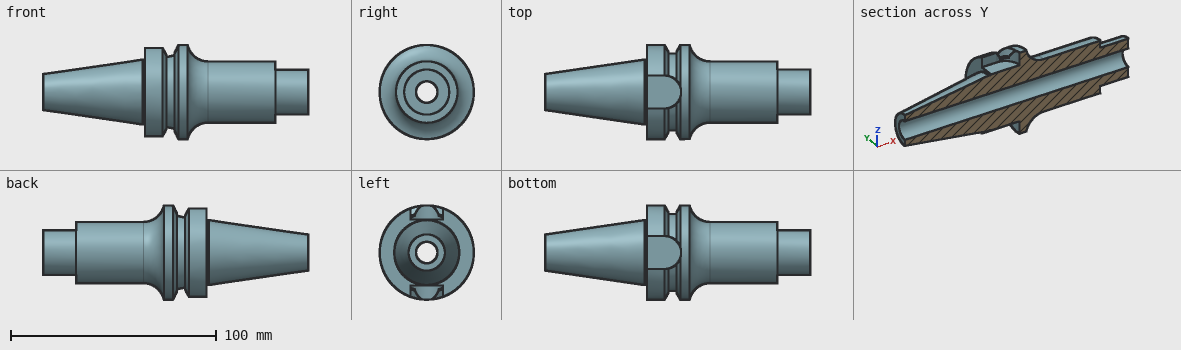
import cadquery as cq
import math

total_length = 129.1
bore_radius = 5.2

taper_length = 48.4
taper_ratio = 7 / 24
taper_large_radius = 15.9
neck_start = 48.8
neck_radius = 15.8
taper_small_radius = taper_large_radius - taper_length * taper_ratio / 2

flange_start = 49.6
flange_radius = 23.0
groove_start = 58.1
groove_end = 65.9
groove_radius = 18.9
groove_foot_radius = 19.5
groove_wall_angle = math.radians(60)
groove_wall_width = (flange_radius - groove_foot_radius) / math.tan(groove_wall_angle)

shank_start = 80.2
shank_radius = 15.0
blend_radius = 10.1
nose_start = 113.0
nose_radius = 11.0

slot_width = 16.0
slot_floor_height = 16.0
slot_end = 66.2


def blend_point(radius):
    """Point of the concave blend at the given distance from the axis."""
    rise = shank_radius + blend_radius - radius
    return shank_start - math.sqrt(blend_radius**2 - rise**2), radius


def turned_body():
    blend_middle_radius = shank_radius + blend_radius * (1 - math.cos(math.pi / 4))
    return (
        cq.Workplane("XY")
        .moveTo(0, bore_radius)
        .lineTo(0, taper_small_radius)
        .lineTo(taper_length, taper_large_radius)
        .lineTo(neck_start, neck_radius)
        .lineTo(flange_start, neck_radius)
        .lineTo(flange_start, flange_radius)
        .lineTo(groove_start, flange_radius)
        .lineTo(groove_start + groove_wall_width, groove_foot_radius)
        .lineTo(groove_start + groove_wall_width, groove_radius)
        .lineTo(groove_end - groove_wall_width, groove_radius)
        .lineTo(groove_end - groove_wall_width, groove_foot_radius)
        .lineTo(groove_end, flange_radius)
        .lineTo(*blend_point(flange_radius))
        .threePointArc(blend_point(blend_middle_radius), (shank_start, shank_radius))
        .lineTo(nose_start, shank_radius)
        .lineTo(nose_start, nose_radius)
        .lineTo(total_length, nose_radius)
        .lineTo(total_length, bore_radius)
        .close()
        .revolve(360, (0, 0, 0), (1, 0, 0))
    )


def drive_slot():
    """Cutter for the slot on the +Z side."""
    half_width = slot_width / 2
    arc_start = slot_end - half_width
    return (
        cq.Workplane("XY")
        .workplane(offset=slot_floor_height)
        .moveTo(flange_start, -half_width)
        .lineTo(arc_start, -half_width)
        .threePointArc((slot_end, 0), (arc_start, half_width))
        .lineTo(flange_start, half_width)
        .close()
        .extrude(flange_radius - slot_floor_height)
    )


result = turned_body()
for side_angle in (0, 180):
    result = result.cut(drive_slot().rotate((0, 0, 0), (1, 0, 0), side_angle))